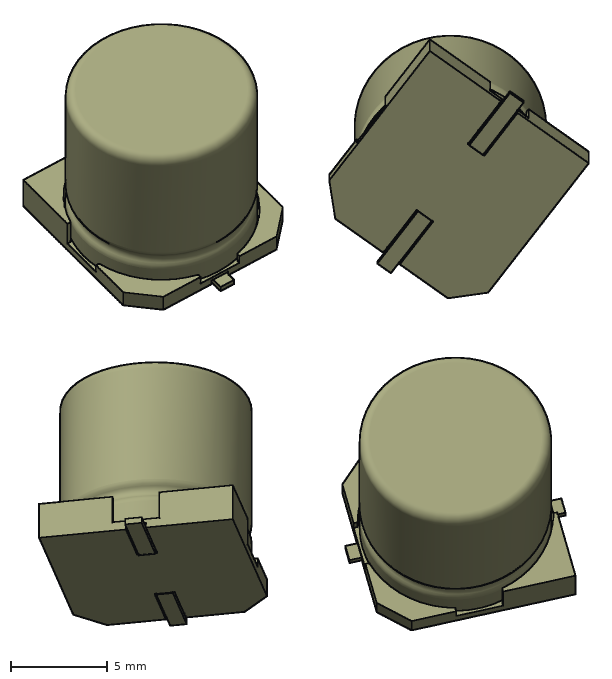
import cadquery as cq
import math

can_radius = 5.0
can_top = 10.0
rim_fillet = 0.5
groove_center_z = 2.32
groove_half_height = 0.63
groove_depth = 0.23

base_side = 10.3
high_top = 2.0
low_top = high_top / 2
corner_chamfer = 1.5
well_clearance = 0.1
well_radius = can_radius + well_clearance
well_floor = 0.5
notch_width = 2.5

lead_span = 11.6
lead_inner_x = 2.24
lead_width = 0.88
lead_thickness = 0.32
lead_drop = 0.05
lead_slot_width = 1.07


def block(x_min, x_max, width, z_min, z_max):
    """Box between two X positions and two heights, centred on Y = 0."""
    return (
        cq.Workplane("XY", origin=((x_min + x_max) / 2, 0, z_min))
        .box(x_max - x_min, width, z_max - z_min, centered=(True, True, False))
    )


def make_base():
    """Square plate, lower and chamfered on +X, with a round well open through four side notches."""
    half_side = base_side / 2
    base = block(-half_side, half_side, base_side, 0, high_top)
    base = base.edges("|Z and >X").chamfer(corner_chamfer)
    base = base.cut(block(0, half_side, base_side, low_top, high_top))

    well = cq.Workplane("XY", origin=(0, 0, well_floor)).circle(well_radius).extrude(high_top)
    notch = block(-half_side, half_side, notch_width, well_floor, high_top)
    cross_notch = notch.rotate((0, 0, 0), (0, 0, 1), 90)
    return base.cut(well).cut(notch).cut(cross_notch)


def make_can():
    """Revolved can with a rounded top rim and a smooth crimp groove made of four equal arcs."""
    arc_height = groove_half_height / 2
    arc_depth = groove_depth / 2
    arc_radius = (arc_height**2 + arc_depth**2) / (2 * arc_depth)

    groove_bottom = groove_center_z - groove_half_height
    groove_top = groove_center_z + groove_half_height
    inflection_radius = can_radius - arc_depth
    neck_radius = can_radius - groove_depth
    rim_center_radius = can_radius - rim_fillet
    rim_center_z = can_top - rim_fillet
    rim_middle = rim_fillet * math.sqrt(0.5)

    return (
        cq.Workplane("XZ")
        .moveTo(0, well_floor)
        .lineTo(can_radius, well_floor)
        .lineTo(can_radius, groove_bottom)
        .radiusArc((inflection_radius, groove_center_z - arc_height), -arc_radius)
        .radiusArc((neck_radius, groove_center_z), arc_radius)
        .radiusArc((inflection_radius, groove_center_z + arc_height), arc_radius)
        .radiusArc((can_radius, groove_top), -arc_radius)
        .lineTo(can_radius, rim_center_z)
        .threePointArc(
            (rim_center_radius + rim_middle, rim_center_z + rim_middle),
            (rim_center_radius, can_top),
        )
        .lineTo(0, can_top)
        .close()
        .revolve(360, (0, 0, 0), (0, 1, 0))
    )


def add_leads(body):
    """Set two opposite flat leads into slots in the underside, slightly proud of the base."""
    lead_top = lead_thickness - lead_drop
    slot = block(lead_inner_x, base_side / 2, lead_slot_width, 0, lead_top)
    lead = block(lead_inner_x, lead_span / 2, lead_width, -lead_drop, lead_top)
    for turn in (0, 180):
        body = body.cut(slot.rotate((0, 0, 0), (0, 0, 1), turn))
        body = body.union(lead.rotate((0, 0, 0), (0, 0, 1), turn))
    return body


result = add_leads(make_base().union(make_can()))